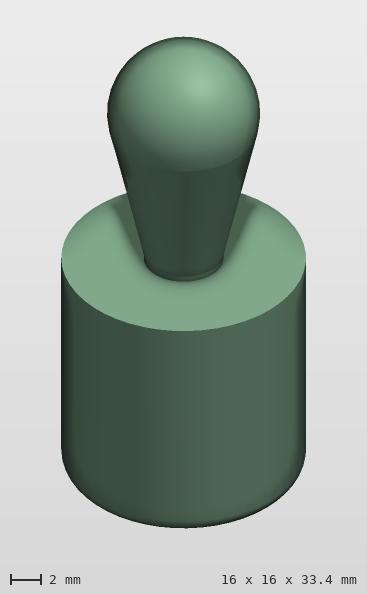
import cadquery as cq
import math

total_height = 33.4
body_diameter = 16.0
body_height = 16.6
bottom_fillet = 1.0
neck_diameter = 5.2
neck_height = 0.4
ball_radius = 5.0

body_radius = body_diameter / 2
neck_radius = neck_diameter / 2
neck_top = body_height + neck_height
ball_center = total_height - ball_radius

center_rise = ball_center - neck_top
center_distance = math.hypot(neck_radius, center_rise)
direction_to_neck = math.atan2(-center_rise, neck_radius)
tangent_angle = direction_to_neck + math.acos(ball_radius / center_distance)


def ball_point(angle):
    """Point (radius, height) on the ball outline, angle measured from horizontal."""
    return (ball_radius * math.cos(angle), ball_center + ball_radius * math.sin(angle))


def make_body():
    """Cylindrical body with a rounded bottom edge."""
    body = cq.Workplane("XY").circle(body_radius).extrude(body_height)
    return body.faces("<Z").edges().fillet(bottom_fillet)


def make_lever():
    """Neck, flared cone and ball end, revolved about Z from the body's base."""
    arc_middle = (tangent_angle + math.pi / 2) / 2
    return (
        cq.Workplane("XZ")
        .lineTo(neck_radius, 0)
        .lineTo(neck_radius, neck_top)
        .lineTo(*ball_point(tangent_angle))
        .threePointArc(ball_point(arc_middle), (0, total_height))
        .close()
        .revolve(360, (0, 0, 0), (0, 1, 0))
    )


result = make_body().union(make_lever())